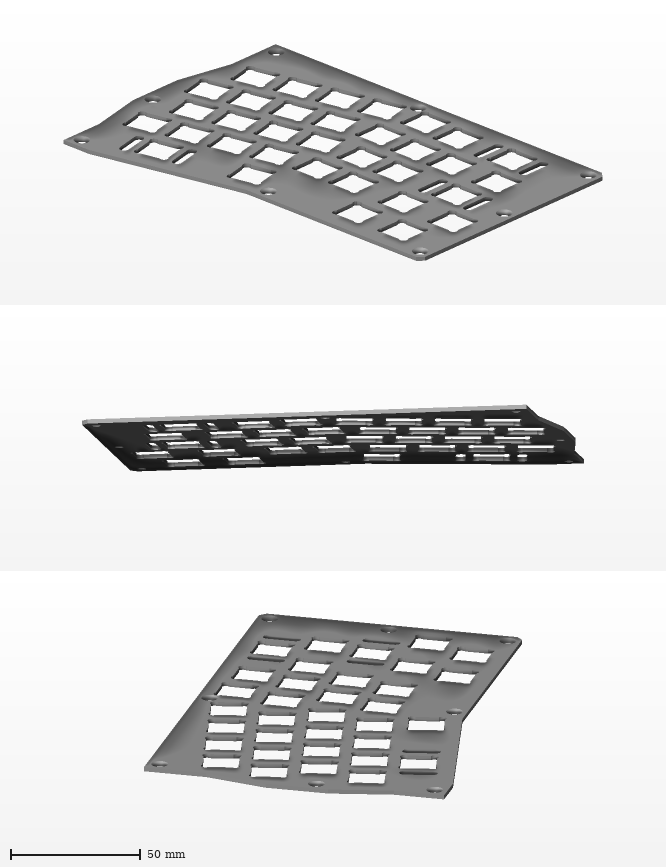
import math

import cadquery as cq

THICKNESS = 1.67
EDGE_MARGIN = 5.0
MAIN_WIDTH = 175.0
TOP_Y = 60.0
BOTTOM_Y = -60.0
RIGHT_CORNER_CHAMFER = 2.5
SPLIT_ANGLE = 12.0
SPLIT_SLOPE = math.tan(math.radians(SPLIT_ANGLE))

BULGE_TOP_Y = 35.0
BULGE_SEGMENT = 25.0
BULGE_DEPTH = BULGE_SEGMENT * SPLIT_SLOPE

RIGHT_X = (MAIN_WIDTH + BULGE_DEPTH) / 2
LEFT_X = RIGHT_X - MAIN_WIDTH
BULGE_X = LEFT_X - BULGE_DEPTH

KEY_PITCH = 19.05
KEY_ROWS = 5
SWITCH_SIZE = 14.0
RELIEF_RADIUS = 1.75
RELIEF_INSET = 1.25
STABILIZER_OFFSET = 11.9
STABILIZER_DROP = 0.6
STABILIZER_WIDTH = 4.0
STABILIZER_LENGTH = 15.0

HOLE_DIAMETER = 3.5
SINK_DIAMETER = 6.5
SINK_ANGLE = 90.0

RIGHT_BOTTOM_Y = TOP_Y - 2 * EDGE_MARGIN - KEY_ROWS * KEY_PITCH
SLANT_END_X = -2.0
SLANT_START_X = SLANT_END_X - (RIGHT_BOTTOM_Y - BOTTOM_Y) / SPLIT_SLOPE

MOUNT_TOP_Y = TOP_Y - EDGE_MARGIN
MOUNT_BOTTOM_Y = RIGHT_BOTTOM_Y + EDGE_MARGIN
MOUNT_RIGHT_X = RIGHT_X - EDGE_MARGIN
MOUNT_LEFT_X = LEFT_X + EDGE_MARGIN
RIGHT_MIDDLE_Y = (MOUNT_TOP_Y + MOUNT_BOTTOM_Y) / 2
TOP_MIDDLE_MOUNT_X = -4.8
BOTTOM_MIDDLE_MOUNT_X = 5.0
BULGE_MOUNT_Y = -9.1

MOUNTING_HOLES = [
    (MOUNT_LEFT_X, MOUNT_TOP_Y),
    (TOP_MIDDLE_MOUNT_X, MOUNT_TOP_Y),
    (MOUNT_RIGHT_X, MOUNT_TOP_Y),
    (MOUNT_RIGHT_X, RIGHT_MIDDLE_Y),
    (MOUNT_RIGHT_X, MOUNT_BOTTOM_Y),
    (BOTTOM_MIDDLE_MOUNT_X, MOUNT_BOTTOM_Y),
    (MOUNT_LEFT_X, BOTTOM_Y + EDGE_MARGIN),
    (BULGE_X + EDGE_MARGIN, BULGE_MOUNT_Y),
]

LEFT_ORIGIN = (-70.34, 32.98)
LEFT_ROW_SHIFTS = [0.0, -0.5, -0.25, -0.75]
LEFT_ROW_KEYS = 4
LEFT_WIDE_KEY_SHIFT = 0.125
LEFT_THUMB_KEY = (44.75, -77.1)

RIGHT_ROWS = [
    (25.12, [0.0, 1.5]),
    (20.37, [0.0, 1.0, 2.25]),
    (9.9, [0.0, 1.0, 2.625]),
    (4.2, [0.0, 1.0, 2.375, 3.75]),
    (43.2, [0.0, 1.25]),
]
RIGHT_TOP_ROW_Y = RIGHT_MIDDLE_Y + 2 * KEY_PITCH
RIGHT_STABILIZED_ROWS = [0, 2]
RIGHT_LOOSE_KEYS = [(6.16, 47.28), (0.94, 27.39)]


def plate():
    chamfer = RIGHT_CORNER_CHAMFER
    outline = [
        (LEFT_X, TOP_Y),
        (RIGHT_X - chamfer, TOP_Y),
        (RIGHT_X, TOP_Y - chamfer),
        (RIGHT_X, RIGHT_BOTTOM_Y + chamfer),
        (RIGHT_X - chamfer, RIGHT_BOTTOM_Y),
        (SLANT_END_X, RIGHT_BOTTOM_Y),
        (SLANT_START_X, BOTTOM_Y),
        (LEFT_X, BOTTOM_Y),
        (LEFT_X, BULGE_TOP_Y - 3 * BULGE_SEGMENT),
        (BULGE_X, BULGE_TOP_Y - 2 * BULGE_SEGMENT),
        (BULGE_X, BULGE_TOP_Y - BULGE_SEGMENT),
        (LEFT_X, BULGE_TOP_Y),
    ]
    return cq.Workplane("XY").polyline(outline).close().extrude(THICKNESS)


def switch_cutter():
    """Square switch opening with a round relief in every corner, centred on the origin."""
    relief_spacing = SWITCH_SIZE - 2 * RELIEF_INSET
    square = cq.Workplane("XY").rect(SWITCH_SIZE, SWITCH_SIZE).extrude(THICKNESS)
    reliefs = (
        cq.Workplane("XY")
        .rect(relief_spacing, relief_spacing, forConstruction=True)
        .vertices()
        .circle(RELIEF_RADIUS)
        .extrude(THICKNESS)
    )
    return square.union(reliefs).val()


def stabilizer_cutters():
    """Pair of slots on both sides of a key centred on the origin."""
    slots = (
        cq.Workplane("XY")
        .pushPoints([(-STABILIZER_OFFSET, -STABILIZER_DROP), (STABILIZER_OFFSET, -STABILIZER_DROP)])
        .slot2D(STABILIZER_LENGTH, STABILIZER_WIDTH, 90)
        .extrude(THICKNESS)
    )
    return slots.vals()


def left_location(along, across):
    """Place a key at a distance along and across the rows of the tilted cluster."""
    tilted = cq.Location(cq.Vector(*LEFT_ORIGIN, 0), cq.Vector(0, 0, 1), SPLIT_ANGLE)
    return tilted * cq.Location(cq.Vector(along, across, 0))


def key_locations():
    """Locations of all keys, and of the stabilized ones among them."""
    keys = []
    stabilized = []

    for row, shift in enumerate(LEFT_ROW_SHIFTS):
        for column in range(LEFT_ROW_KEYS):
            keys.append(left_location((shift + column) * KEY_PITCH, -row * KEY_PITCH))
    fifth_row = len(LEFT_ROW_SHIFTS)
    wide_key = left_location(LEFT_WIDE_KEY_SHIFT * KEY_PITCH, -fifth_row * KEY_PITCH)
    keys += [wide_key, left_location(*LEFT_THUMB_KEY)]
    stabilized.append(wide_key)

    for row, (first_x, distances) in enumerate(RIGHT_ROWS):
        y = RIGHT_TOP_ROW_Y - row * KEY_PITCH
        row_keys = [cq.Location(cq.Vector(first_x + d * KEY_PITCH, y, 0)) for d in distances]
        keys += row_keys
        if row in RIGHT_STABILIZED_ROWS:
            stabilized.append(row_keys[-1])
    keys += [cq.Location(cq.Vector(x, y, 0)) for x, y in RIGHT_LOOSE_KEYS]

    return keys, stabilized


def key_cutters():
    keys, stabilized = key_locations()
    switch = switch_cutter()
    slots = stabilizer_cutters()
    cutters = [switch.moved(key) for key in keys]
    cutters += [slot.moved(key) for key in stabilized for slot in slots]
    return cq.Compound.makeCompound(cutters)


def with_mounting_holes(body):
    return (
        body.faces(">Z")
        .workplane(origin=(0, 0, THICKNESS))
        .pushPoints(MOUNTING_HOLES)
        .cskHole(HOLE_DIAMETER, SINK_DIAMETER, SINK_ANGLE)
    )


result = with_mounting_holes(plate()).cut(cq.Workplane(key_cutters()))